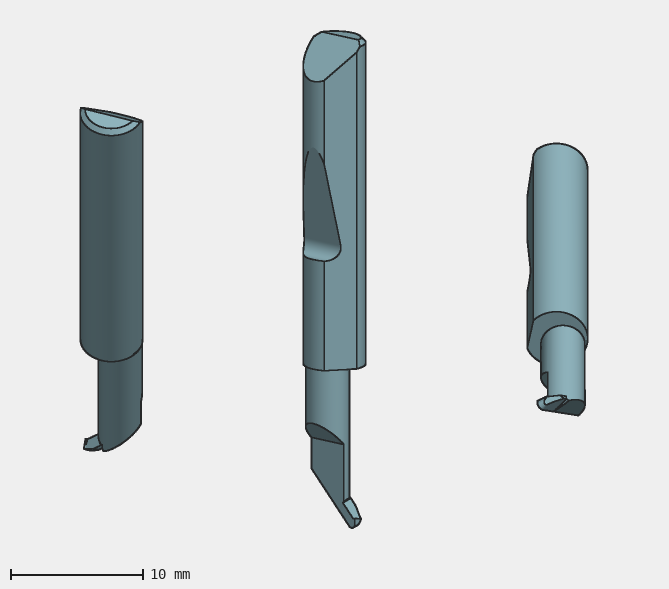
import math

import cadquery as cq

LENGTH = 37.95
SHANK_RADIUS = 2.37
SHANK_BOTTOM = 12.52
TOP_CHAMFER = 0.38
TOP_SLOPE_START = 34.95

FLAT_DISTANCE = 2.0
FLAT_ANGLE = 145.0

NOTCH_TOP = 29.8
NOTCH_LEDGE = 21.05
NOTCH_ANGLE = 9.3
NOTCH_RADIUS = 1.0

NECK_RADIUS = 1.67
NECK_X = SHANK_RADIUS - NECK_RADIUS
BACK_RAMP_START = 8.05
END_PLANE_HEIGHT = 1.6
SHOULDER_FRONT = 0.7
SHOULDER_PEAK = 0.95
SHOULDER_BACK = 0.9
SHOULDER_PEAK_DEPTH = 1.1

BAR_WIDTH = 0.75
BAR_BLANK_DEPTH = 1.33
ROOT_X = 0.38
NOSE_RADIUS = 0.35
NOSE_TOP = 0.75
CLEARANCE_ANGLE = 10.0
BAR_DEPTH_AT_TIP = 0.9
BEVEL_HEIGHT = 0.6
BAR_SLOPE = 0.55
BEVEL_END_DEPTH = 0.4

OVERCUT = 7.6


def prism_along_x(points):
    """Prism with a (Y, Z) outline, longer than the part is wide."""
    return cq.Workplane("YZ").polyline(points).close().extrude(OVERCUT, both=True)


def make_shank():
    shank = (
        cq.Workplane("XY").workplane(offset=SHANK_BOTTOM)
        .circle(SHANK_RADIUS).extrude(LENGTH - SHANK_BOTTOM)
        .faces(">Z").chamfer(TOP_CHAMFER)
    )
    flat = (
        cq.Workplane("XY")
        .box(OVERCUT, OVERCUT, LENGTH, centered=(False, True, False))
        .translate((FLAT_DISTANCE, 0, 0))
        .rotate((0, 0, 0), (0, 0, 1), FLAT_ANGLE)
    )
    top_slope = prism_along_x([
        (SHANK_RADIUS + OVERCUT, TOP_SLOPE_START - OVERCUT),
        (SHANK_RADIUS + OVERCUT, TOP_SLOPE_START + OVERCUT),
        (SHANK_RADIUS - OVERCUT, TOP_SLOPE_START + OVERCUT),
    ])
    return shank.cut(flat).cut(top_slope).cut(make_notch())


def make_notch():
    notch_depth = (NOTCH_TOP - NOTCH_LEDGE) * math.tan(math.radians(NOTCH_ANGLE))
    floor_y = SHANK_RADIUS - notch_depth
    notch = prism_along_x([
        (SHANK_RADIUS, NOTCH_TOP),
        (floor_y, NOTCH_LEDGE),
        (SHANK_RADIUS, NOTCH_LEDGE),
    ])
    return notch.edges("|X").edges("<Y").fillet(NOTCH_RADIUS)


def make_neck():
    neck = (
        cq.Workplane("XY").center(NECK_X, 0)
        .circle(NECK_RADIUS).extrude(SHANK_BOTTOM)
    )
    half_section = prism_along_x([
        (0, -OVERCUT),
        (0, BACK_RAMP_START - NECK_RADIUS),
        (OVERCUT, BACK_RAMP_START - NECK_RADIUS + OVERCUT),
        (OVERCUT, -OVERCUT),
    ])
    end_cut = (
        cq.Workplane("XZ")
        .polyline([
            (-OVERCUT, END_PLANE_HEIGHT - OVERCUT),
            (OVERCUT, END_PLANE_HEIGHT + OVERCUT),
            (OVERCUT, END_PLANE_HEIGHT - OVERCUT),
        ]).close().extrude(OVERCUT, both=True)
    )
    return neck.cut(half_section).cut(end_cut).cut(make_shoulder_cut())


def make_shoulder_cut():
    """Clears the neck below a shoulder square to the bar, bent where it leans back."""
    along_bar = cq.Plane(origin=(0, 0, 0), xDir=(1, 0, 1), normal=(-1, 0, 1))
    return (
        cq.Workplane(along_bar)
        .polyline([
            (SHOULDER_FRONT, 0),
            (SHOULDER_PEAK, -SHOULDER_PEAK_DEPTH),
            (SHOULDER_BACK, -NECK_RADIUS),
            (-OVERCUT, -NECK_RADIUS),
            (-OVERCUT, 0),
        ]).close().extrude(OVERCUT, both=True)
    )


def make_bar():
    upper_height = END_PLANE_HEIGHT + BAR_WIDTH * math.sqrt(2)
    root_z = ROOT_X + END_PLANE_HEIGHT
    half_step = BAR_WIDTH / math.sqrt(2)

    center_x = NOSE_RADIUS * (1 - math.sqrt(2)) - END_PLANE_HEIGHT
    nose_x = center_x - NOSE_RADIUS
    heel_x = center_x + NOSE_RADIUS / math.sqrt(2)
    blank = (
        cq.Workplane("XZ")
        .moveTo(NOSE_TOP - upper_height, NOSE_TOP)
        .lineTo(nose_x, NOSE_TOP)
        .lineTo(nose_x, NOSE_RADIUS)
        .threePointArc((center_x, 0), (heel_x, heel_x + END_PLANE_HEIGHT))
        .lineTo(ROOT_X, root_z)
        .lineTo(ROOT_X - half_step, root_z + half_step)
        .close().extrude(BAR_BLANK_DEPTH, taper=CLEARANCE_ANGLE)
    )
    envelope = prism_along_x([
        (0, 0),
        (-BEVEL_END_DEPTH, 0),
        (-BAR_DEPTH_AT_TIP, BEVEL_HEIGHT),
        (-BAR_DEPTH_AT_TIP - BAR_SLOPE * OVERCUT, BEVEL_HEIGHT + OVERCUT),
        (0, BEVEL_HEIGHT + OVERCUT),
    ])
    return blank.intersect(envelope)


result = make_shank().union(make_neck()).union(make_bar())